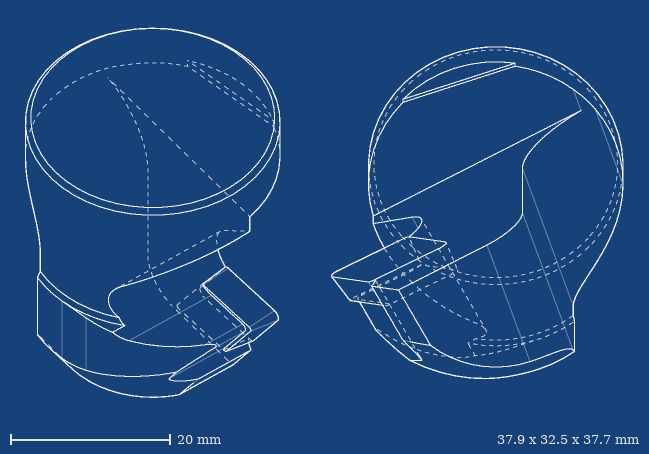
import cadquery as cq
import math


overall_length = 37.87
head_radius = 32.0 / 2
height = 37.68
top_chamfer = 0.7
reach = 45.45

body_radius = 33.0 / 2
bulge_radius = 17.23
bulge_shift = 4.15
shelf_z = -20.98
shelf_bevel = 0.72
cone_top_z = -31.6
cone_angle = 60.0

flat_x = -5.07
flat_top_z = -6.93
flat_top_radius = 10.0
flat_bottom_radius = 5.0

cut_angle = 9.5
cut_plane_y = 3.6
back_ceiling_z = -7.1
rim_step_y = 14.15
rim_step_z = -6.02

notch_u = 13.2
notch_z = -17.45
notch_radius = 3.98
notch_slope = 40.0
floor_slope = 3.0

flank_slope = 58.0
relief_u = 18.55
relief_z = -30.0
relief_radius = 5.25 / 2
relief_end = 216.0
holder_nose_radius = 0.55

insert_edge = 11.63
insert_thickness = 3.98
insert_relief = 7.0
nose_radius = 0.8
nose_z = -20.8


def polar(length, angle):
    """Vector of the given length and angle in degrees."""
    turn = math.radians(angle)
    return length * math.cos(turn), length * math.sin(turn)


def shifted(point, length, angle):
    """Point moved by a polar vector."""
    step_u, step_v = polar(length, angle)
    return point[0] + step_u, point[1] + step_v


def cut_plane():
    """Workplane on the cutting plane: first axis along it, second axis Z, extruding toward -Y."""
    along_x, along_y = polar(1, -cut_angle)
    plane = cq.Plane(origin=(0, cut_plane_y, 0), xDir=(along_x, along_y, 0), normal=(along_y, -along_x, 0))
    return cq.Workplane(plane)


def make_head():
    head = cq.Workplane("XY").circle(head_radius).extrude(-height)
    return head.faces(">Z").chamfer(top_chamfer)


def make_lower_body():
    """Bulged outline, limited above by the bevelled shelf and below by the cone."""
    bulge_y = bulge_radius - body_radius
    outline = (
        cq.Workplane("XY")
        .moveTo(0, -body_radius)
        .lineTo(bulge_shift, -body_radius)
        .threePointArc(
            shifted((bulge_shift, bulge_y), bulge_radius, -45),
            (bulge_shift + bulge_radius, bulge_y),
        )
        .lineTo(bulge_shift + bulge_radius, body_radius)
        .lineTo(0, body_radius)
        .threePointArc((-body_radius, 0), (0, -body_radius))
        .close()
        .extrude(-height)
    )
    return outline.intersect(make_envelope())


def make_envelope():
    """Turned shape with a bevelled shelf on top and a wide cone below."""
    cone_run = 1 / math.tan(math.radians(cone_angle))
    foot_radius = body_radius - (height + cone_top_z) * cone_run
    rim_radius = body_radius + (shelf_z - cone_top_z) * cone_run
    profile = [
        (0, shelf_z + shelf_bevel),
        (head_radius, shelf_z + shelf_bevel),
        (body_radius, shelf_z),
        (rim_radius, shelf_z),
        (foot_radius, -height),
        (0, -height),
    ]
    return cq.Workplane("XZ").polyline(profile).close().revolve(360, (0, 0, 0), (0, 1, 0))


def make_side_cut():
    """Waste on the -X side, with a round blend under the flange and a rounded bottom corner."""
    blend_center = (flat_x - flat_top_radius, flat_top_z - flat_top_radius)
    corner_center = (flat_x + flat_bottom_radius, -height + flat_bottom_radius)
    return (
        cq.Workplane("XZ")
        .moveTo(-reach, flat_top_z)
        .lineTo(blend_center[0], flat_top_z)
        .threePointArc(shifted(blend_center, flat_top_radius, 45), (flat_x, blend_center[1]))
        .lineTo(flat_x, corner_center[1])
        .threePointArc(shifted(corner_center, flat_bottom_radius, 225), (corner_center[0], -height))
        .lineTo(corner_center[0], -reach)
        .lineTo(-reach, -reach)
        .close()
        .extrude(reach, both=True)
    )


def make_back_cut():
    """Waste behind the cutting plane, below the flange."""
    corners = [(-reach, back_ceiling_z), (reach, back_ceiling_z), (reach, -reach), (-reach, -reach)]
    return cut_plane().polyline(corners).close().extrude(-reach)


def make_rim_step():
    """Shallow step in the flange underside at the +Y rim."""
    corners = [(rim_step_y, rim_step_z), (reach, rim_step_z), (reach, -reach), (rim_step_y, -reach)]
    return cq.Workplane("YZ").polyline(corners).close().extrude(reach, both=True)


def make_front_cut():
    """Chip notch, seat floor, flank and relief, swept square to the cutting plane."""
    notch = (notch_u, notch_z)
    relief = (relief_u, relief_z)
    notch_start = shifted(notch, notch_radius, 90 + notch_slope)
    floor_start = shifted(notch, notch_radius, floor_slope - 90)
    relief_start = shifted(relief, relief_radius, 90 + flank_slope)
    relief_stop = shifted(relief, relief_radius, relief_end)

    gap_u = relief_start[0] - floor_start[0]
    gap_z = relief_start[1] - floor_start[1]
    floor_u, floor_z = polar(1, floor_slope)
    flank_u, flank_z = polar(1, flank_slope)
    floor_length = (gap_u * flank_z - gap_z * flank_u) / (floor_u * flank_z - floor_z * flank_u)
    nose = shifted(floor_start, floor_length, floor_slope)

    cut = (
        cut_plane()
        .moveTo(*shifted(notch_start, reach, notch_slope))
        .lineTo(*notch_start)
        .threePointArc(shifted(notch, notch_radius, 180), floor_start)
        .lineTo(*nose)
        .lineTo(*relief_start)
        .threePointArc(shifted(relief, relief_radius, 180), relief_stop)
        .lineTo(*shifted(relief_stop, -reach, flank_slope))
        .lineTo(2 * reach, -reach)
        .close()
        .extrude(reach)
    )
    nose_edge = cq.selectors.NearestToPointSelector(
        cut_plane().plane.toWorldCoords((nose[0], nose[1], reach / 2)).toTuple()
    )
    return cut.edges(nose_edge).fillet(holder_nose_radius)


def make_insert():
    """Rhombic insert, widest at the cutting plane."""
    half_tip = math.radians((flank_slope - floor_slope) / 2)
    corner_loss = nose_radius * (1 / math.tan(half_tip) + math.tan(half_tip))
    side = insert_edge - corner_loss
    tip_u = (overall_length - head_radius) / math.cos(math.radians(cut_angle))
    nose = (tip_u - nose_radius, nose_z)
    inner = shifted(nose, -side, floor_slope)
    lower = shifted(nose, -side, flank_slope)
    far = shifted(inner, -side, flank_slope)
    rhombus = cut_plane().polyline([nose, inner, far, lower]).close().offset2D(nose_radius)
    return rhombus.extrude(insert_thickness, taper=insert_relief)


def make_holder(seated_insert):
    blank = make_head().union(make_lower_body())
    lower_zone = cq.Workplane("XY").workplane(offset=shelf_z).rect(2 * reach, 2 * reach).extrude(-reach)
    blank = blank.cut(lower_zone.cut(make_envelope()))
    return (
        blank.cut(make_side_cut())
        .cut(make_back_cut())
        .cut(make_rim_step())
        .cut(make_front_cut())
        .cut(seated_insert)
    )


insert = make_insert()
holder = make_holder(insert)

result = cq.Compound.makeCompound([holder.solids().val(), insert.solids().val()])